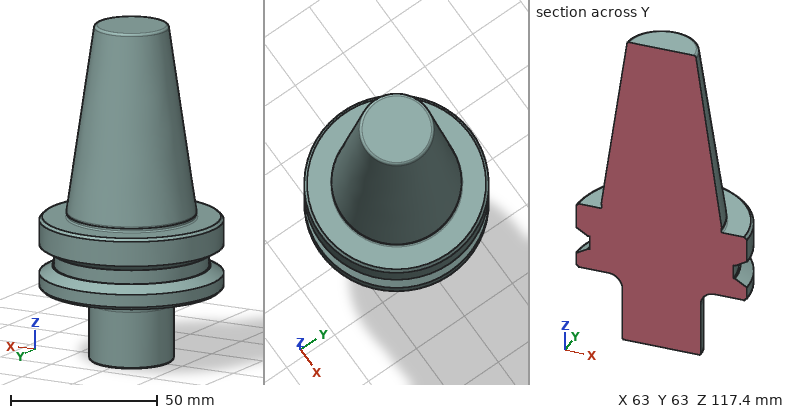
import cadquery as cq
import math

gauge_radius = 44.45 / 2
taper_ratio = 7 / 24
taper_length = 65.4
taper_tip_fillet = 1.0

land_length = 0.7
relief_depth = 0.2
relief_radius = gauge_radius - relief_depth
relief_fillet = 0.5

flange_radius = 63 / 2
flange_top = -2.0
flange_thickness = 25.0
flange_bottom = flange_top - flange_thickness
flange_chamfer = 1.0

groove_center = -16.6
groove_mouth_width = 10.0
groove_floor_width = 4.9
groove_floor_radius = 53 / 2
groove_flank_angle = 30.0

nose_radius = 29 / 2
nose_length = 25.0
nose_bottom = flange_bottom - nose_length
nose_root_fillet = 5.0
nose_chamfer = 0.5


def make_taper():
    tip_radius = gauge_radius - taper_length * taper_ratio / 2
    taper = (
        cq.Workplane("XZ")
        .lineTo(gauge_radius, 0)
        .lineTo(tip_radius, taper_length)
        .lineTo(0, taper_length)
        .close()
        .revolve(360, (0, 0), (0, 1))
    )
    return taper.faces(">Z").edges().fillet(taper_tip_fillet)


def make_land_and_relief():
    return (
        cq.Workplane("XZ")
        .lineTo(gauge_radius, 0)
        .lineTo(gauge_radius, -land_length)
        .lineTo(relief_radius, -land_length)
        .lineTo(relief_radius, flange_top + relief_fillet)
        .radiusArc((relief_radius + relief_fillet, flange_top), -relief_fillet)
        .lineTo(0, flange_top)
        .close()
        .revolve(360, (0, 0), (0, 1))
    )


def make_flange():
    blank = (
        cq.Workplane("XY", origin=(0, 0, flange_bottom))
        .circle(flange_radius)
        .extrude(flange_thickness)
        .edges()
        .chamfer(flange_chamfer)
    )
    half_mouth = groove_mouth_width / 2
    half_floor = groove_floor_width / 2
    flank_slope = math.tan(math.radians(groove_flank_angle))
    flank_foot_radius = flange_radius - (half_mouth - half_floor) / flank_slope
    groove = (
        cq.Workplane("XZ")
        .moveTo(flange_radius, groove_center + half_mouth)
        .lineTo(flank_foot_radius, groove_center + half_floor)
        .lineTo(groove_floor_radius, groove_center + half_floor)
        .lineTo(groove_floor_radius, groove_center - half_floor)
        .lineTo(flank_foot_radius, groove_center - half_floor)
        .lineTo(flange_radius, groove_center - half_mouth)
        .close()
        .revolve(360, (0, 0), (0, 1))
    )
    return blank.cut(groove)


def make_nose():
    return (
        cq.Workplane("XZ")
        .moveTo(0, flange_bottom)
        .lineTo(nose_radius + nose_root_fillet, flange_bottom)
        .radiusArc((nose_radius, flange_bottom - nose_root_fillet), -nose_root_fillet)
        .lineTo(nose_radius, nose_bottom + nose_chamfer)
        .lineTo(nose_radius - nose_chamfer, nose_bottom)
        .lineTo(0, nose_bottom)
        .close()
        .revolve(360, (0, 0), (0, 1))
    )


result = make_flange().union(make_nose()).union(make_land_and_relief()).union(make_taper())